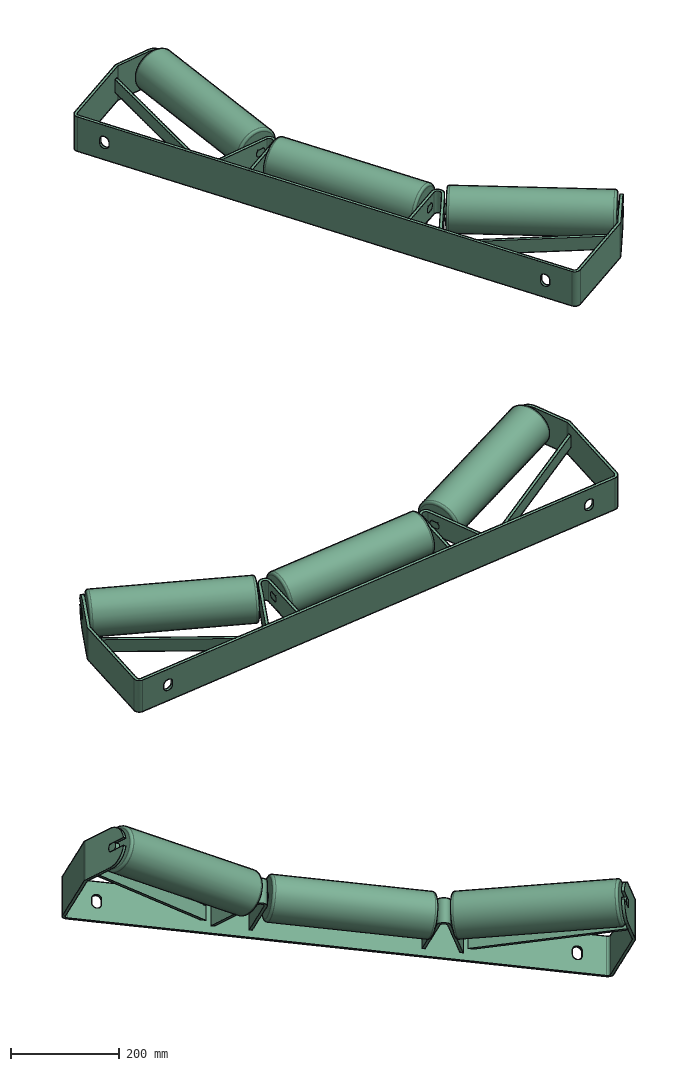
import cadquery as cq
import math


FRAME_LENGTH = 1050.0
PLATE = 5.8
BAR_WIDTH = 80.0
INNER_BEND = PLATE
OUTER_BEND = INNER_BEND + PLATE

ROLLER_DIAMETER = 89.0
ROLLER_LENGTH = 315.0
ROLLER_FILLET = 5.0
END_GAP = 4.0
SHAFT_DIAMETER = 20.0
SHAFT_FLATS = 16.0
TILT = 25.0
TIP_DROP = 6.0
MIDDLE_ROLLER_Y = 99.0
SIDE_ROLLER_X = 339.0
SIDE_ROLLER_Y = 176.0

BRACKET_WIDTH = 50.0
INNER_FOLD = 7.0
OUTER_FOLD = INNER_FOLD + PLATE

MOUNT_SPACING = 916.0
MOUNT_WIDTH = 19.0
MOUNT_HEIGHT = 27.0

STRUT_WIDTH = 30.0
STRUT_FOOT_X = 255.0
STRUT_HEAD_Y = 166.0

HALF_LENGTH = FRAME_LENGTH / 2
FACE_REACH = ROLLER_LENGTH / 2 + END_GAP
SHAFT_REACH = FACE_REACH + PLATE
TIP_RADIUS = BAR_WIDTH / 2
TIP_REACH = TIP_RADIUS - TIP_DROP
SIN = math.sin(math.radians(TILT))
COS = math.cos(math.radians(TILT))


def side_point(along, up):
    """Point at +X given along the side roller axis (outwards) and square to it (upwards)."""
    return (SIDE_ROLLER_X + along * COS - up * SIN, SIDE_ROLLER_Y + along * SIN + up * COS)


def place_on_side(body):
    """Move a body built about the origin along X to the side roller at +X."""
    return body.rotate((0, 0, 0), (0, 0, 1), TILT).translate((SIDE_ROLLER_X, SIDE_ROLLER_Y, 0))


def mirrored(body):
    return body.mirror("YZ")


def fillet_at(plate, point, radius):
    """Round the edge along Z that passes through an XY point."""
    edge = cq.selectors.NearestToPointSelector((point[0], point[1], 0))
    return plate.edges("|Z").edges(edge).fillet(radius)


def shaft_section(start, length):
    """Flatted shaft end along X from start."""
    round_end = cq.Workplane("YZ", origin=(start, 0, 0)).circle(SHAFT_DIAMETER / 2).extrude(length)
    flats = cq.Workplane("XY").box(2 * (start + length), SHAFT_DIAMETER, SHAFT_FLATS)
    return round_end.intersect(flats)


def make_roller():
    """Roller about the origin along X, with a flatted shaft end in each plate."""
    shell = cq.Workplane("YZ", origin=(-ROLLER_LENGTH / 2, 0, 0))
    shell = shell.circle(ROLLER_DIAMETER / 2).extrude(ROLLER_LENGTH)
    shell = shell.edges().fillet(ROLLER_FILLET)
    shaft = cq.Workplane("YZ", origin=(-FACE_REACH, 0, 0))
    shaft = shaft.circle(SHAFT_DIAMETER / 2).extrude(2 * FACE_REACH)
    tip = shaft_section(FACE_REACH, PLATE)
    return shell.union(shaft).union(tip).union(mirrored(tip))


def tip_trim():
    """Material outside the rounded end of a side flange, about the side roller axis."""
    face = cq.Workplane("YZ", origin=(FACE_REACH, -TIP_DROP, 0))
    corners = face.center(TIP_RADIUS, 0).rect(2 * TIP_RADIUS, 2 * BAR_WIDTH).extrude(PLATE)
    return corners.cut(face.circle(TIP_RADIUS).extrude(PLATE))


def shaft_slot():
    """Slot that takes a shaft end and opens through the end of the flange."""
    mouth = cq.Workplane("YZ", origin=(FACE_REACH, TIP_RADIUS, 0))
    mouth = mouth.rect(2 * TIP_RADIUS, SHAFT_FLATS).extrude(PLATE)
    return shaft_section(FACE_REACH, PLATE).union(mouth)


def make_frame():
    """Base bar, side walls and tilted end flanges, bent from one flat bar."""
    tip_outer = side_point(SHAFT_REACH, TIP_REACH)
    tip_inner = side_point(FACE_REACH, TIP_REACH)
    bend_y = tip_outer[1] - (HALF_LENGTH - tip_outer[0]) * COS / SIN
    bend_shift = PLATE * math.tan(math.radians(TILT / 2))
    base_outer = (HALF_LENGTH, 0)
    base_inner = (HALF_LENGTH - PLATE, PLATE)
    bend_outer = (HALF_LENGTH, bend_y)
    bend_inner = (HALF_LENGTH - PLATE, bend_y - bend_shift)

    half = cq.Workplane("XY").polyline([
        (0, 0),
        base_outer,
        bend_outer,
        tip_outer,
        tip_inner,
        bend_inner,
        base_inner,
        (0, PLATE),
    ])
    half = half.close().extrude(BAR_WIDTH / 2, both=True)
    for corner in (base_outer, bend_outer):
        half = fillet_at(half, corner, OUTER_BEND)
    for corner in (base_inner, bend_inner):
        half = fillet_at(half, corner, INNER_BEND)

    half = half.cut(place_on_side(tip_trim())).cut(place_on_side(shaft_slot()))
    mount = cq.Workplane("XZ", origin=(MOUNT_SPACING / 2, PLATE, 0))
    half = half.cut(mount.slot2D(MOUNT_HEIGHT, MOUNT_WIDTH, 90).extrude(PLATE))
    return half.union(mirrored(half))


def make_bracket():
    """Folded bracket at +X: upright leg for the middle roller, sloping leg for the side roller."""
    fold_x = FACE_REACH + OUTER_FOLD
    face_x, face_y = side_point(-FACE_REACH, 0)
    fold_y = face_y + (COS * (face_x - fold_x) - OUTER_FOLD) / SIN

    def leg_foot(radius):
        """X where the sloping face at this fold radius meets the base bar."""
        return fold_x + radius * COS + (fold_y + radius * SIN - PLATE) * SIN / COS

    def outline(radius):
        """Solid wedge under the fold face of this radius."""
        return (
            cq.Workplane("XY", origin=(0, 0, -BRACKET_WIDTH / 2))
            .moveTo(fold_x - radius, PLATE)
            .lineTo(fold_x - radius, fold_y)
            .threePointArc(
                (fold_x, fold_y + radius),
                (fold_x + radius * COS, fold_y + radius * SIN),
            )
            .lineTo(leg_foot(radius), PLATE)
            .close()
            .extrude(BRACKET_WIDTH)
        )

    bracket = outline(OUTER_FOLD).cut(outline(INNER_FOLD))
    middle_hole = shaft_section(FACE_REACH, PLATE).translate((0, MIDDLE_ROLLER_Y, 0))
    side_hole = place_on_side(mirrored(shaft_section(FACE_REACH, PLATE)))
    return bracket.cut(middle_hole).cut(side_hole)


def make_strut():
    """Flat strut at +X from the base bar to the side wall, cut to fit both."""
    wall_x = HALF_LENGTH - PLATE
    slope = math.atan2(STRUT_HEAD_Y - PLATE, wall_x - STRUT_FOOT_X)
    half_foot = PLATE / 2 / math.sin(slope)
    half_head = PLATE / 2 / math.cos(slope)
    return (
        cq.Workplane("XY")
        .polyline([
            (STRUT_FOOT_X - half_foot, PLATE),
            (STRUT_FOOT_X + half_foot, PLATE),
            (wall_x, STRUT_HEAD_Y - half_head),
            (wall_x, STRUT_HEAD_Y + half_head),
        ])
        .close()
        .extrude(STRUT_WIDTH / 2, both=True)
    )


frame = make_frame()
middle_roller = make_roller().translate((0, MIDDLE_ROLLER_Y, 0))

side_roller = place_on_side(make_roller())
bracket = make_bracket()
strut = make_strut()

bodies = [frame, middle_roller]
for body in (side_roller, bracket, strut):
    bodies += [body, mirrored(body)]

result = cq.Compound.makeCompound([body.solids().val() for body in bodies])